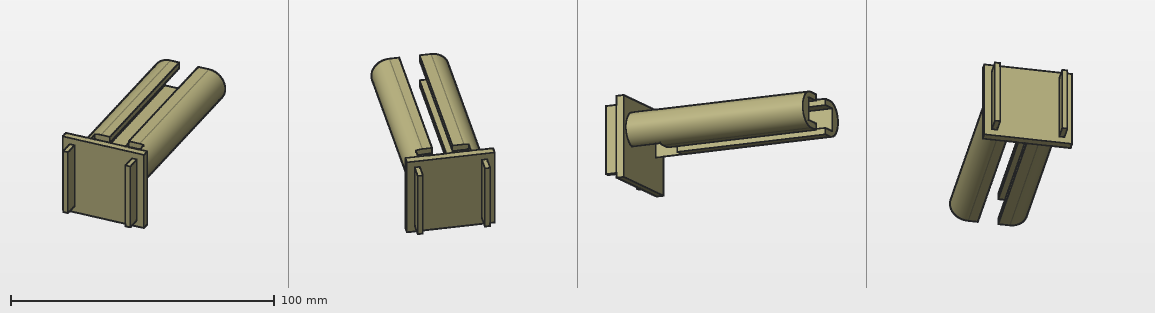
import cadquery as cq

total_length = 84.0
plate_width = 34.0
plate_height = 32.0
plate_thickness = 3.0
rib_length = 6.0
rib_thickness = 2.0
rib_height = 26.6
rib_spacing = 26.0

sleeve_width = 30.1
sleeve_height = 13.95
sleeve_rise = 4.0
lip_thickness = 2.5
cavity_width = 20.0
slot_width = 7.9
slot_offset = -0.25
window_width = 20.5
window_length = 12.1

plate_front = rib_length
plate_back = plate_front + plate_thickness
sleeve_length = total_length - plate_back
cavity_height = sleeve_height - 2 * lip_thickness


def block(width, length, height, x_centre, y_start):
    """Box centred on Z = 0 that runs along +Y from y_start."""
    return cq.Workplane("XY").box(width, length, height, centered=(True, False, True)).translate(
        (x_centre, y_start, 0)
    )


def make_end_plate():
    plate = block(plate_width, plate_thickness, plate_height, 0, plate_front)
    for side in (-1, 1):
        rib = block(rib_thickness, rib_length, rib_height, side * rib_spacing / 2, 0)
        plate = plate.union(rib)
    return plate


def make_sleeve():
    sleeve = (
        cq.Workplane("XZ", origin=(0, plate_back, 0))
        .slot2D(sleeve_width, sleeve_height)
        .extrude(-sleeve_length)
    )
    cavity = block(cavity_width, sleeve_length, cavity_height, slot_offset, plate_back)
    slot = block(slot_width, sleeve_length, sleeve_height, slot_offset, plate_back)
    window = block(window_width, window_length, sleeve_height, slot_offset, plate_back)
    return sleeve.cut(cavity).cut(slot).cut(window).translate((0, 0, sleeve_rise))


holder = make_end_plate().union(make_sleeve())

result = cq.Compound.makeCompound([holder.val()])